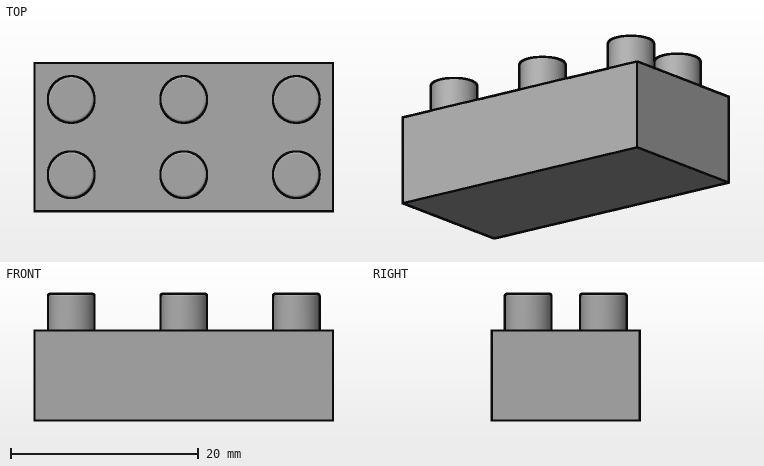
import cadquery as cq

block_length = 31.8
block_width = 15.8
total_height = 13.5

stud_diameter = 5.0
stud_height = 3.9
stud_edge_round = 0.3
stud_columns = 3
stud_rows = 2
column_pitch = 12.0
row_pitch = 8.0

block_height = total_height - stud_height


def make_block():
    """Plain rectangular block, centred in X and Y with its base at Z = 0."""
    return cq.Workplane("XY").box(
        block_length, block_width, block_height, centered=(True, True, False)
    )


def make_stud(x, y):
    """Round stud on the block's top face, with a rounded upper rim."""
    return (
        cq.Workplane("XY", origin=(x, y, block_height))
        .circle(stud_diameter / 2)
        .extrude(stud_height)
        .faces(">Z")
        .edges()
        .fillet(stud_edge_round)
    )


block = make_block()

studs = []
for column in range(stud_columns):
    for row in range(stud_rows):
        stud_x = (column - (stud_columns - 1) / 2) * column_pitch
        stud_y = (row - (stud_rows - 1) / 2) * row_pitch
        studs.append(make_stud(stud_x, stud_y).val())

result = cq.Compound.makeCompound([block.val(), *studs])